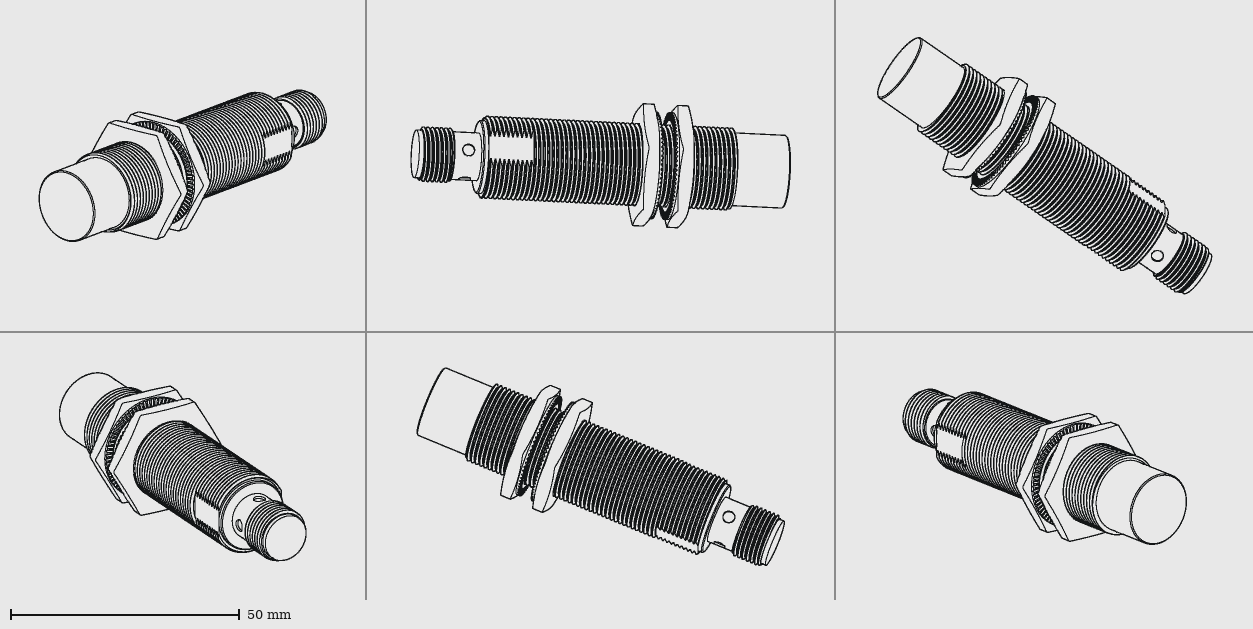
import cadquery as cq
import math

total_length = 82.0

cap_end = 11.9
barrel_end = 67.1
collar_end = 68.15
neck_end = 74.1
plug_thread_end = 80.9

cap_diameter = 16.0
cap_chamfer = 0.25
collar_diameter = 16.0
collar_chamfer = 0.25
plug_diameter = 10.5

barrel_turns = 55
thread_pitch = (barrel_end - cap_end) / barrel_turns
crest_width = thread_pitch / 8
flank_half_angle = 30.0
blank_margin = 0.4
barrel_major_diameter = 18.0
barrel_root_diameter = 16.8
plug_major_diameter = 12.0
plug_root_diameter = 10.8
plug_thread_bevel = 0.4

flat_spacing = 16.0
flat_length = 10.0

dimple_diameter = 2.6
dimple_depth = 0.5
dimple_station = 71.0
dimple_count = 4

nut_across_flats = 24.0
nut_corner_fillet = 0.615
nut_hex_height = 3.3
nut_chamfer_height = 0.5
flange_diameter = 23.45
flange_height = 0.7
tooth_count = 72
tooth_depth = 0.3
tooth_gap_width = 0.65
tooth_inner_radius = 10.1
front_nut_outer_face = 22.05
rear_nut_outer_face = 33.0


def disc(diameter, start, end):
    """Cylinder on the Z axis between two stations."""
    return cq.Workplane("XY").workplane(offset=start).circle(diameter / 2).extrude(end - start)


def threaded_rod(root_diameter, major_diameter, start, end, bevel=0):
    """Rod on the Z axis with a right-handed helical thread, cut square or beveled at both ends."""
    root_radius = root_diameter / 2
    crest_radius = major_diameter / 2
    flank_width = (crest_radius - root_radius) * math.tan(math.radians(flank_half_angle))
    first_turn = start - 2 * thread_pitch
    turn_count = math.ceil((end - first_turn) / thread_pitch) + 2

    profile = [
        (root_radius, 0),
        (root_radius, thread_pitch - crest_width - 2 * flank_width),
        (crest_radius, thread_pitch - crest_width - flank_width),
        (crest_radius, thread_pitch - flank_width),
        (root_radius, thread_pitch),
    ]

    def turn_of_helix(radius, height):
        return cq.Wire.makeHelix(thread_pitch, thread_pitch, radius, cq.Vector(0, 0, height)).Edges()[0]

    faces = []
    for turn in range(turn_count):
        base = first_turn + turn * thread_pitch
        helices = [turn_of_helix(radius, base + height) for radius, height in profile]
        for lower, upper in zip(helices, helices[1:]):
            faces.append(cq.Face.makeRuledSurface(lower, upper))

    for base in (first_turn, first_turn + turn_count * thread_pitch):
        axis_bottom = cq.Vector(0, 0, base)
        axis_top = cq.Vector(0, 0, base + thread_pitch)
        axis = cq.Edge.makeLine(axis_bottom, axis_top)
        faces.append(cq.Face.makeRuledSurface(turn_of_helix(root_radius, base), axis))
        outline = [cq.Vector(radius, 0, base + height) for radius, height in profile]
        step = cq.Wire.makePolygon([axis_bottom, *outline, axis_top], close=True)
        faces.append(cq.Face.makeFromWires(step))

    rod = cq.Workplane(obj=cq.Solid.makeSolid(cq.Shell.makeShell(faces)))
    blank = disc(major_diameter + 2 * blank_margin, start, end)
    if bevel > 0:
        blank = blank.edges().chamfer(blank_margin + bevel)
    return rod.intersect(blank)


def wrench_flats():
    """Cutter that leaves two flats facing +X and -X."""
    outside = cq.Workplane("XY").box(2 * barrel_major_diameter, 2 * barrel_major_diameter, flat_length)
    kept = cq.Workplane("XY").box(flat_spacing, 2 * barrel_major_diameter, flat_length)
    return outside.cut(kept).translate((0, 0, barrel_end - flat_length / 2))


def neck_dimples():
    """Radial cutters whose floors follow a cylinder around the sensor axis."""
    drills = cq.Workplane("XY")
    for i in range(dimple_count):
        drill = (
            cq.Workplane("YZ")
            .circle(dimple_diameter / 2)
            .extrude(plug_diameter)
            .translate((0, 0, dimple_station))
            .rotate((0, 0, 0), (0, 0, 1), i * 360 / dimple_count)
        )
        drills = drills.union(drill)
    return drills.cut(disc(plug_diameter - 2 * dimple_depth, collar_end, neck_end))


def make_sensor():
    cap = disc(cap_diameter, 0, cap_end).faces("<Z").chamfer(cap_chamfer)
    barrel = threaded_rod(barrel_root_diameter, barrel_major_diameter, cap_end, barrel_end)
    barrel = barrel.cut(wrench_flats())
    collar = disc(collar_diameter, barrel_end, collar_end).faces(">Z").chamfer(collar_chamfer)
    neck = disc(plug_diameter, collar_end, neck_end).cut(neck_dimples())
    plug_thread = threaded_rod(
        plug_root_diameter, plug_major_diameter, neck_end, plug_thread_end, plug_thread_bevel
    )
    plug_tip = disc(plug_diameter, plug_thread_end, total_length)
    return cap.union(barrel).union(collar).union(neck).union(plug_thread).union(plug_tip)


def chamfer_envelope():
    """Turned outline that bevels the hexagon corners on both faces."""
    face_radius = flange_diameter / 2
    corner_radius = nut_across_flats / math.sqrt(3)
    return (
        cq.Workplane("XZ")
        .polyline([
            (0, 0),
            (face_radius, 0),
            (corner_radius, nut_chamfer_height),
            (corner_radius, nut_hex_height - nut_chamfer_height),
            (face_radius, nut_hex_height),
            (0, nut_hex_height),
        ])
        .close()
        .revolve(360, (0, 0, 0), (0, 1, 0))
    )


def flange_tooth_gaps():
    """Ring of radial V grooves in the flange face."""
    top = nut_hex_height + flange_height
    groove = (
        cq.Workplane("YZ")
        .workplane(offset=tooth_inner_radius)
        .polyline([
            (-tooth_gap_width / 2, top),
            (0, top - tooth_depth),
            (tooth_gap_width / 2, top),
        ])
        .close()
        .extrude(flange_diameter / 2)
        .val()
    )
    gaps = [
        groove.rotate(cq.Vector(0, 0, 0), cq.Vector(0, 0, 1), i * 360 / tooth_count)
        for i in range(tooth_count)
    ]
    return cq.Workplane(obj=cq.Compound.makeCompound(gaps))


def make_nut():
    """Lock nut with its outer face on Z = 0 and its toothed flange on top."""
    hexagon = (
        cq.Workplane("XY")
        .polygon(6, nut_across_flats, circumscribed=True)
        .extrude(nut_hex_height)
        .rotate((0, 0, 0), (0, 0, 1), 90)
        .edges("|Z")
        .fillet(nut_corner_fillet)
        .intersect(chamfer_envelope())
    )
    flange_top = nut_hex_height + flange_height
    flange = disc(flange_diameter, nut_hex_height, flange_top).cut(flange_tooth_gaps())
    bore = disc(barrel_major_diameter, 0, flange_top)
    return hexagon.union(flange).cut(bore)


def along_y(body):
    """Turn a body built along +Z so that it runs along +Y."""
    return body.rotate((0, 0, 0), (1, 0, 0), -90)


sensor = along_y(make_sensor())

lock_nuts = []
for outer_face, turn in [(front_nut_outer_face, 0), (rear_nut_outer_face, 180)]:
    nut = along_y(make_nut()).rotate((0, 0, 0), (0, 0, 1), turn).translate((0, outer_face, 0))
    lock_nuts.append(nut.val())

result = cq.Compound.makeCompound([sensor.val(), *lock_nuts])